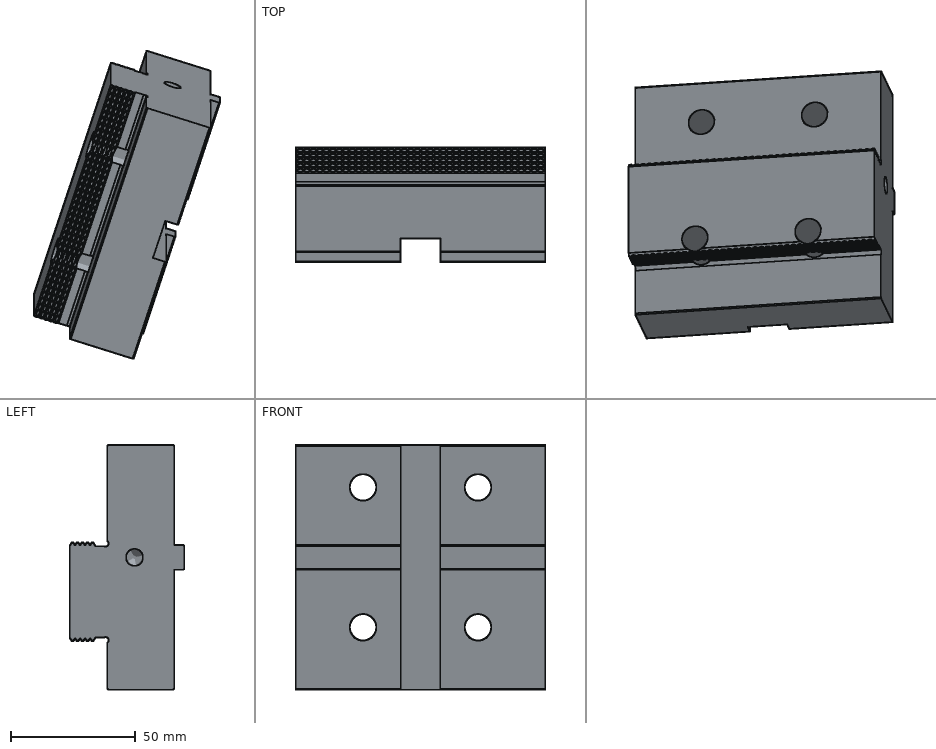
import cadquery as cq
import math

width = 100.0
plate_height = 98.0
plate_thickness = 27.0
edge_chamfer = 0.5

key_height = 10.0
key_depth = 4.0
key_center_z = 4.0
slot_width = 16.0
slot_depth = 5.5

bolt_hole_diameter = 10.5
bolt_spacing_x = 46.0
bolt_spacing_z = 56.0
bolt_center_z = 4.0

side_hole_diameter = 6.8
side_hole_depth = 20.0
side_hole_y = 16.0
side_hole_z = 4.0
drill_point_angle = 118.0

jaw_length = 15.0
jaw_height = 39.6
jaw_center_z = -9.8
neck_drop = 1.5
tooth_count = 5
tooth_pitch = 2.0
tooth_depth = 1.2
tooth_crest = 0.6
nose_land = 0.2

scallop_count = 40
scallop_pitch = 2.6
scallop_depth = 0.45
scallop_crest = 0.6

relief_radius = 1.2
relief_offset = 0.6
relief_undercut = 0.15

plate_back = plate_thickness
jaw_end = plate_back + jaw_length
jaw_half = jaw_height / 2
neck_half = jaw_half - neck_drop


def box(size_x, y_start, y_end, z_center, size_z):
    """Block centred on X = 0 that spans y_start to y_end."""
    size_y = y_end - y_start
    center = (0, y_start + size_y / 2, z_center)
    return cq.Workplane("XY").box(size_x, size_y, size_z).translate(center)


def make_plate():
    plate = box(width, 0, plate_thickness, 0, plate_height)
    return plate.edges("|X").chamfer(edge_chamfer)


def make_key():
    key = box(width, -key_depth, edge_chamfer, key_center_z, key_height)
    return key.edges("|X and <Y").chamfer(edge_chamfer)


def tooth_points():
    """Upper outline of the jaw, from its nose to the plate, as (Y, height above jaw centre)."""
    flank = (tooth_pitch - tooth_crest) / 2
    root = jaw_half - tooth_depth
    points = [(jaw_end, root)]
    for index in range(tooth_count):
        start = jaw_end - nose_land - index * tooth_pitch
        points.append((start, root))
        points.append((start - flank, jaw_half))
        points.append((start - flank - tooth_crest, jaw_half))
    last_crest_end = points[-1][0]
    teeth_end = last_crest_end - flank * neck_drop / tooth_depth
    points.append((teeth_end, neck_half))
    points.append((plate_back - edge_chamfer, neck_half))
    return points


def make_toothed_bar():
    upper = tooth_points()
    lower = [(y, -height) for y, height in reversed(upper)]
    return cq.Workplane("YZ").polyline(upper + lower).close().extrude(width / 2, both=True)


def make_scalloped_bar():
    """Bar along Y whose upper and lower faces carry the round cross grooves."""
    first_crest = -scallop_count * scallop_pitch / 2
    outline = cq.Workplane("XZ").moveTo(first_crest, jaw_half)
    for index in range(scallop_count):
        start = first_crest + index * scallop_pitch + scallop_crest / 2
        end = start + scallop_pitch - scallop_crest
        outline = outline.lineTo(start, jaw_half)
        outline = outline.threePointArc(((start + end) / 2, jaw_half - scallop_depth), (end, jaw_half))
    outline = outline.lineTo(-first_crest, jaw_half).lineTo(-first_crest, 0).lineTo(first_crest, 0).close()
    upper = outline.extrude(-jaw_end)
    return upper.union(upper.mirror("XY"))


def make_jaw():
    jaw = make_toothed_bar().intersect(make_scalloped_bar())
    return jaw.translate((0, 0, jaw_center_z))


def make_reliefs():
    height = neck_half + relief_radius - relief_undercut
    centers = [(plate_back + relief_offset, jaw_center_z + side * height) for side in (1, -1)]
    return cq.Workplane("YZ").pushPoints(centers).circle(relief_radius).extrude(width / 2, both=True)


def make_slot():
    return box(slot_width, -key_depth, slot_depth, 0, plate_height)


def make_bolt_holes():
    holes = cq.Workplane("XZ", origin=(0, 0, bolt_center_z))
    holes = holes.rarray(bolt_spacing_x, bolt_spacing_z, 2, 2).circle(bolt_hole_diameter / 2)
    return holes.extrude(-jaw_end)


def make_side_hole():
    radius = side_hole_diameter / 2
    point_length = radius / math.tan(math.radians(drill_point_angle / 2))
    profile = cq.Workplane("XY").polyline(
        [(0, 0), (0, radius), (side_hole_depth, radius), (side_hole_depth + point_length, 0)]
    )
    hole = profile.close().revolve(360, (0, 0, 0), (1, 0, 0))
    return hole.translate((-width / 2, side_hole_y, side_hole_z))


body = make_plate().union(make_key()).union(make_jaw())
body = body.cut(make_reliefs()).cut(make_slot())
result = body.cut(make_bolt_holes()).cut(make_side_hole())